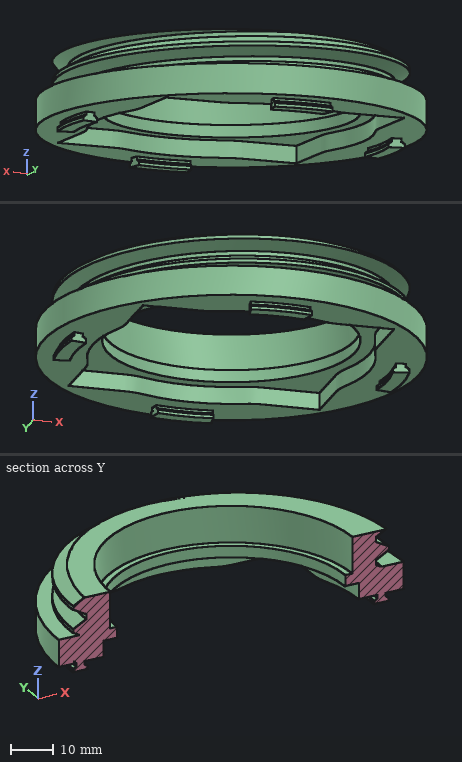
import cadquery as cq
import math

total_height = 18.95
tab_height = 2.2
flange_thickness = 7.25
flange_bottom = tab_height
flange_top = flange_bottom + flange_thickness

flange_diameter = 92.5
bore_diameter = 64.75

lip_diameter = 61.0
lip_top = 9.4
lip_thickness = 3.0
lip_bottom = lip_top - lip_thickness

recess_diameter = 68.2
recess_square_side = 61.8
recess_blend_radius = 12.0
recess_depth = lip_bottom - flange_bottom

crest_diameter = 84.62
crest_radius = crest_diameter / 2
root_radius = 38.8
thread_pitch = 6.0
thread_turns = 4
crest_width = 1.0
root_width = 1.15
root_overlap = 0.5
first_crest_above_flange = 4.36

tab_count = 4
tab_half_angle = 10.2
tab_foot_inner_radius = 38.4
tab_foot_outer_radius = crest_radius
tab_foot_height = 0.85
tab_neck_height = 0.7
tab_flare = 0.8


def disc(diameter, bottom, top):
    """Solid cylinder on the Z axis between two heights."""
    return cq.Workplane("XY").workplane(offset=bottom).circle(diameter / 2).extrude(top - bottom)


def thread_ridge():
    """Helical ridge, trimmed flat at the flange and at the top of the part."""
    start = flange_top + first_crest_above_flange - thread_turns / 2 * thread_pitch
    half_crest = crest_width / 2
    half_base = (thread_pitch - root_width) / 2
    buried_radius = root_radius - root_overlap
    profile = cq.Workplane("XZ").polyline(
        [
            (buried_radius, start - half_base),
            (root_radius, start - half_base),
            (crest_radius, start - half_crest),
            (crest_radius, start + half_crest),
            (root_radius, start + half_base),
            (buried_radius, start + half_base),
        ]
    ).close()
    helix = cq.Wire.makeHelix(
        thread_pitch, thread_turns * thread_pitch, root_radius, center=cq.Vector(0, 0, start)
    )
    ridge = profile.sweep(cq.Workplane(helix), isFrenet=True)
    return ridge.intersect(disc(flange_diameter, flange_top, total_height))


def is_recess_junction(edge):
    """True where the round and square pockets meet, false at the square's corners."""
    center = edge.Center()
    corner_radius = recess_square_side / math.sqrt(2)
    midway_radius = (recess_diameter / 2 + corner_radius) / 2
    return math.hypot(center.x, center.y) < midway_radius


def underside_recess():
    """Volume of the recess that runs from the flange underside up to the lip."""
    round_pocket = disc(recess_diameter, flange_bottom, lip_bottom)
    floor = cq.Workplane("XY").workplane(offset=flange_bottom)
    square_pocket = floor.rect(recess_square_side, recess_square_side).extrude(recess_depth)
    pocket = round_pocket.union(square_pocket)
    return pocket.edges("|Z").filter(is_recess_junction).fillet(recess_blend_radius)


def tab():
    """Arc-shaped tab centred on +X, with a foot wider than its neck."""
    neck_inner_radius = tab_foot_inner_radius + tab_flare
    neck_outer_radius = tab_foot_outer_radius - tab_flare
    neck_bottom = tab_height - tab_neck_height
    section = cq.Workplane("XZ").polyline(
        [
            (tab_foot_inner_radius, 0),
            (tab_foot_outer_radius, 0),
            (tab_foot_outer_radius, tab_foot_height),
            (neck_outer_radius, neck_bottom),
            (neck_outer_radius, tab_height),
            (neck_inner_radius, tab_height),
            (neck_inner_radius, neck_bottom),
            (tab_foot_inner_radius, tab_foot_height),
        ]
    ).close()
    arc = section.revolve(2 * tab_half_angle, (0, 0, 0), (0, 1, 0))
    return arc.rotate((0, 0, 0), (0, 0, 1), -tab_half_angle)


body = disc(flange_diameter, flange_bottom, flange_top)
body = body.union(disc(2 * root_radius, flange_top, total_height))
body = body.union(thread_ridge())

body = body.cut(disc(bore_diameter, lip_top, total_height))
body = body.cut(disc(lip_diameter, flange_bottom, lip_top))
body = body.cut(underside_recess())

for index in range(tab_count):
    body = body.union(tab().rotate((0, 0, 0), (0, 0, 1), index * 360 / tab_count))

result = body